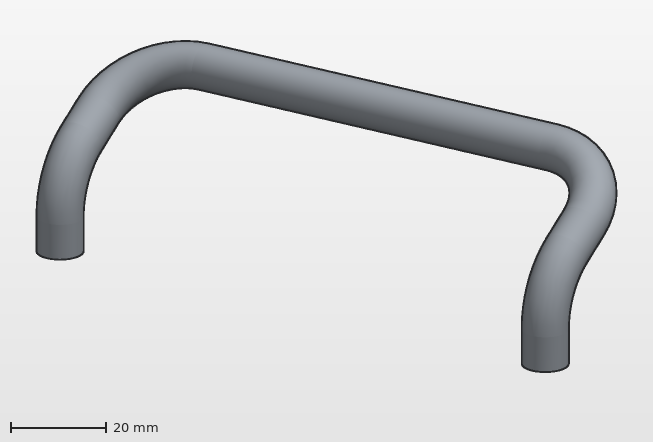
import cadquery as cq
import math

tube_diameter = 10.0
leg_spacing = 120.0
foot_height = 7.9
bend_radius = 17.0
arm_length = 7.9
arm_elevation = 30.0

half_spacing = leg_spacing / 2
elevation = math.radians(arm_elevation)
rise = math.sin(elevation)
run = math.cos(elevation)

foot_bend_end_y = bend_radius * (1 - rise)
foot_bend_end_z = foot_height + bend_radius * run


def bend_mid_point():
    """Y and Z of the middle of the lower bend."""
    half_turn = (math.pi / 2 - elevation) / 2
    mid_y = bend_radius * (1 - math.cos(half_turn))
    mid_z = foot_height + bend_radius * math.sin(half_turn)
    return mid_y, mid_z


def slope_point(x, distance):
    """Point in the sloping plane, at a distance up the slope from the lower bend."""
    return cq.Vector(x, foot_bend_end_y + distance * run, foot_bend_end_z + distance * rise)


def leg_edges(side):
    """Centreline of one leg from its foot up to the bar; side is -1 or +1."""
    x = side * half_spacing
    foot_bottom = cq.Vector(x, 0, 0)
    foot_top = cq.Vector(x, 0, foot_height)
    foot_bend_mid = cq.Vector(x, *bend_mid_point())
    arm_start = slope_point(x, 0)
    arm_end = slope_point(x, arm_length)

    bend_sagitta = bend_radius * (1 - math.sqrt(0.5))
    corner_mid = slope_point(x - side * bend_sagitta, arm_length + bend_radius - bend_sagitta)
    bar_end = slope_point(x - side * bend_radius, arm_length + bend_radius)

    return [
        cq.Edge.makeLine(foot_bottom, foot_top),
        cq.Edge.makeThreePointArc(foot_top, foot_bend_mid, arm_start),
        cq.Edge.makeLine(arm_start, arm_end),
        cq.Edge.makeThreePointArc(arm_end, corner_mid, bar_end),
    ]


def handle_path():
    """Centreline of the whole handle, from the left foot to the right foot."""
    left_leg = leg_edges(-1)
    right_leg = leg_edges(1)
    bar = cq.Edge.makeLine(left_leg[-1].endPoint(), right_leg[-1].endPoint())
    return cq.Wire.assembleEdges(left_leg + [bar] + right_leg[::-1])


result = (
    cq.Workplane("XY", origin=(-half_spacing, 0, 0))
    .circle(tube_diameter / 2)
    .sweep(cq.Workplane(handle_path()))
)